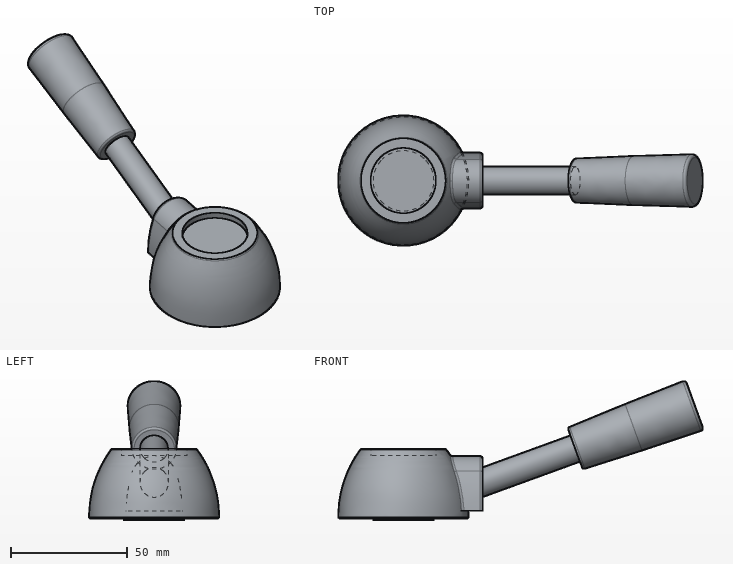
import cadquery as cq
import math

HUB_RADIUS = 28.0
HUB_TOP_RADIUS = 18.6
HUB_BOTTOM = 0.6
HUB_TOP = 30.5
HUB_BASE_CHAMFER = 0.6
HUB_TOP_CHAMFER = 0.5
POCKET_DIAMETER = 28.0
POCKET_DEPTH = 2.8
PAD_DIAMETER = 26.0

SOCKET_FACE_X = 34.1
SOCKET_BOTTOM = 3.9
SOCKET_TOP = 27.5
SOCKET_HALF_WIDTH = 12.0
ARCH_HALF_WIDTH = 9.2
ARCH_START = 21.1
SOCKET_EDGE_FILLET = 1.4
BLEND_RADIUS = 1.3

LEVER_ANGLE = 20
AXIS_HEIGHT_AT_FACE = 16.3
ROD_DIAMETER = 12.0
ROD_EMBED = 12.5
GRIP_START = 42.1
GRIP_NECK_LENGTH = 26.6
GRIP_LENGTH = 54.6
GRIP_START_RADIUS = 9.5
GRIP_MIDDLE_RADIUS = 10.6
GRIP_END_RADIUS = 11.4
GRIP_START_FILLET = 1.0
GRIP_END_FILLET = 1.4


def bulge_midpoint(bottom, top):
    """Halfway point of the arc that leaves bottom vertically and leans inward to top."""
    inset = bottom[0] - top[0]
    rise = top[1] - bottom[1]
    arc_radius = (rise**2 + inset**2) / (2 * inset)
    half_angle = math.asin(rise / arc_radius) / 2
    return (
        bottom[0] - arc_radius * (1 - math.cos(half_angle)),
        bottom[1] + arc_radius * math.sin(half_angle),
    )


def mirrored(point):
    return (-point[0], point[1])


def make_hub():
    """Dome with a bulging side and chamfered rims."""
    side_bottom = (HUB_RADIUS, HUB_BOTTOM + HUB_BASE_CHAMFER)
    side_top = (HUB_TOP_RADIUS, HUB_TOP - HUB_TOP_CHAMFER)
    return (
        cq.Workplane("XZ")
        .moveTo(0, HUB_BOTTOM)
        .lineTo(HUB_RADIUS - HUB_BASE_CHAMFER, HUB_BOTTOM)
        .lineTo(*side_bottom)
        .threePointArc(bulge_midpoint(side_bottom, side_top), side_top)
        .lineTo(HUB_TOP_RADIUS - HUB_TOP_CHAMFER, HUB_TOP)
        .lineTo(0, HUB_TOP)
        .close()
        .revolve(360, (0, 0, 0), (0, 1, 0))
    )


def make_socket():
    """Block with bulging flanks and an arched top, from the hub axis to its outer face."""
    foot = (SOCKET_HALF_WIDTH, SOCKET_BOTTOM)
    shoulder = (ARCH_HALF_WIDTH, ARCH_START)
    flank_middle = bulge_midpoint(foot, shoulder)
    block = (
        cq.Workplane("YZ")
        .moveTo(*mirrored(foot))
        .lineTo(*foot)
        .threePointArc(flank_middle, shoulder)
        .threePointArc((0, SOCKET_TOP), mirrored(shoulder))
        .threePointArc(mirrored(flank_middle), mirrored(foot))
        .close()
        .extrude(SOCKET_FACE_X)
    )
    return block.faces(">X").edges("not <Z").fillet(SOCKET_EDGE_FILLET)


def join_socket(hub, socket):
    """Join the socket to the hub with a small blend around the arch and flanks."""
    joined = hub.union(socket)
    blend_zone = cq.selectors.BoxSelector(
        (HUB_TOP_RADIUS, -SOCKET_HALF_WIDTH, SOCKET_BOTTOM + BLEND_RADIUS),
        (HUB_RADIUS, SOCKET_HALF_WIDTH, SOCKET_TOP),
    )
    seam = joined.edges(blend_zone).edges("not |X")
    return seam.fillet(BLEND_RADIUS)


def make_lever():
    """Rod and double-tapered grip, turned about the lever axis."""
    grip_middle = GRIP_START + GRIP_NECK_LENGTH
    grip_end = GRIP_START + GRIP_LENGTH
    axis_start = (SOCKET_FACE_X, 0, AXIS_HEIGHT_AT_FACE)
    slope = math.radians(LEVER_ANGLE)
    axis = cq.Plane(
        origin=axis_start,
        xDir=(0, 1, 0),
        normal=(math.cos(slope), 0, math.sin(slope)),
    )
    rod = (
        cq.Workplane(axis)
        .workplane(offset=-ROD_EMBED)
        .circle(ROD_DIAMETER / 2)
        .extrude(ROD_EMBED + grip_middle)
    )
    grip = (
        cq.Workplane("XZ")
        .moveTo(0, GRIP_START)
        .lineTo(GRIP_START_RADIUS, GRIP_START)
        .lineTo(GRIP_MIDDLE_RADIUS, grip_middle)
        .lineTo(GRIP_END_RADIUS, grip_end)
        .lineTo(0, grip_end)
        .close()
        .revolve(360, (0, 0, 0), (0, 1, 0))
        .faces("<Z").edges().fillet(GRIP_START_FILLET)
        .faces(">Z").edges().fillet(GRIP_END_FILLET)
        .rotate((0, 0, 0), (0, 1, 0), 90 - LEVER_ANGLE)
        .translate(axis_start)
    )
    return rod.union(grip)


pad = cq.Workplane("XY").circle(PAD_DIAMETER / 2).extrude(HUB_TOP / 2)
pocket = (
    cq.Workplane("XY")
    .workplane(offset=HUB_TOP - POCKET_DEPTH)
    .circle(POCKET_DIAMETER / 2)
    .extrude(POCKET_DEPTH)
)

body = join_socket(make_hub(), make_socket())
result = body.union(make_lever()).union(pad).cut(pocket)